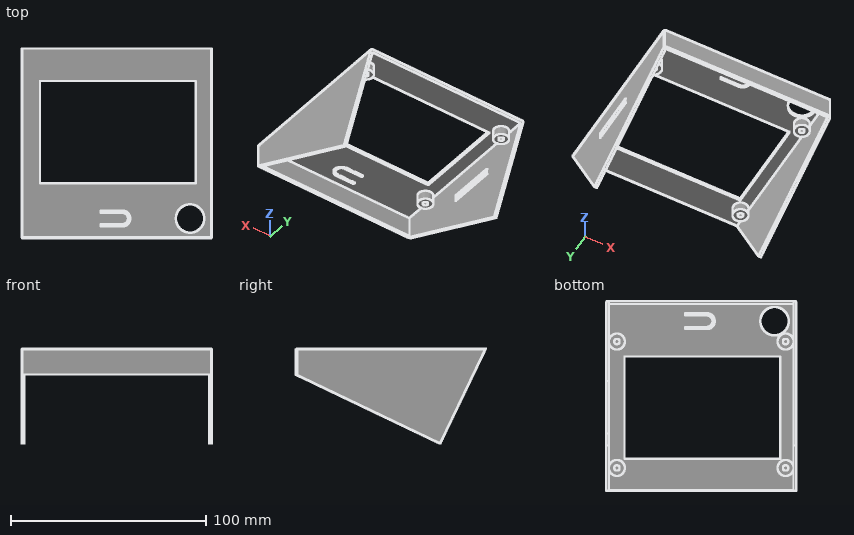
import cadquery as cq

width = 97.4
depth = 97.3
height = 48.7
wall = 1.5
front_height = 13.3
apex_from_back = 23.4
bevel = 0.5
front_bevel_depth = 1.0

window_width = 79.5
window_depth = 52.2
window_left = 9.5
window_back = 16.7

button_diameter = 14.4
button_from_right = 11.2
controls_from_front = 10.3
tongue_left = 40.6
tongue_length = 14.9
slit_outer_width = 8.0
tongue_width = 6.0

slot_length = 27.0
slot_height = 3.4
slot_back = 29.4
slot_drop = 12.8

boss_diameter = 8.2
boss_bore = 2.8
boss_length = 5.3
front_boss_from_front = 20.7
rear_boss_from_back = 11.9

left = -width / 2
right = width / 2
front = -depth / 2
back = depth / 2


def box(x, y, z, x_size, y_size, z_size):
    """Box placed by its minimum corner."""
    return cq.Workplane("XY").box(x_size, y_size, z_size, centered=False).translate((x, y, z))


def make_envelope():
    """Outer solid with bevelled front and side edges, as the overlap of three prisms."""
    side_outline = [
        (back, 0),
        (back - apex_from_back, -height),
        (front, -front_height),
        (front, -bevel),
        (front + front_bevel_depth, 0),
    ]
    plan_outline = [
        (left, back),
        (left, front + front_bevel_depth),
        (left + bevel, front),
        (right - bevel, front),
        (right, front + front_bevel_depth),
        (right, back),
    ]
    front_outline = [
        (left, -height),
        (left, -bevel),
        (left + bevel, 0),
        (right - bevel, 0),
        (right, -bevel),
        (right, -height),
    ]
    side_prism = cq.Workplane("YZ").polyline(side_outline).close().extrude(width / 2, both=True)
    plan_prism = cq.Workplane("XY").polyline(plan_outline).close().extrude(-height)
    front_prism = cq.Workplane("XZ").polyline(front_outline).close().extrude(depth / 2, both=True)
    return side_prism.intersect(plan_prism).intersect(front_prism)


def make_shell():
    """Top plate, front wall and two side walls, open at the back and below."""
    inner_width = width - 2 * wall
    cavity = box(left + wall, front + wall, -height, inner_width, depth, height - wall)
    below_front_wall = box(left + wall, front, -height, inner_width, wall, height - front_height)
    return make_envelope().cut(cavity).cut(below_front_wall)


def make_bosses():
    """Four hollow screw bosses, each touching a side wall."""
    boss_x = width / 2 - wall - boss_diameter / 2
    centers = [
        (x, y)
        for x in (-boss_x, boss_x)
        for y in (front + front_boss_from_front, back - rear_boss_from_back)
    ]
    return (
        cq.Workplane("XY", origin=(0, 0, -wall))
        .pushPoints(centers)
        .circle(boss_diameter / 2)
        .circle(boss_bore / 2)
        .extrude(-boss_length)
    )


def make_window():
    return box(
        left + window_left, back - window_back - window_depth, -wall,
        window_width, window_depth, wall,
    )


def make_tongue_gap():
    """U-shaped cut, rounded at its right end, that frees the tongue."""
    y = front + controls_from_front

    def rounded_bar(bar_width):
        radius = bar_width / 2
        straight = tongue_length - slit_outer_width / 2
        return (
            cq.Workplane("XY", origin=(left + tongue_left, y, -wall))
            .moveTo(0, -radius)
            .lineTo(straight, -radius)
            .threePointArc((straight + radius, 0), (straight, radius))
            .lineTo(0, radius)
            .close()
            .extrude(wall)
        )

    return rounded_bar(slit_outer_width).cut(rounded_bar(tongue_width))


def make_button_hole():
    return (
        cq.Workplane("XY", origin=(right - button_from_right, front + controls_from_front, -wall))
        .circle(button_diameter / 2)
        .extrude(wall)
    )


def make_side_slot():
    return box(left, back - slot_back - slot_length, -slot_drop - slot_height, wall, slot_length, slot_height)


result = (
    make_shell()
    .union(make_bosses())
    .cut(make_window())
    .cut(make_tongue_gap())
    .cut(make_button_hole())
    .cut(make_side_slot())
)